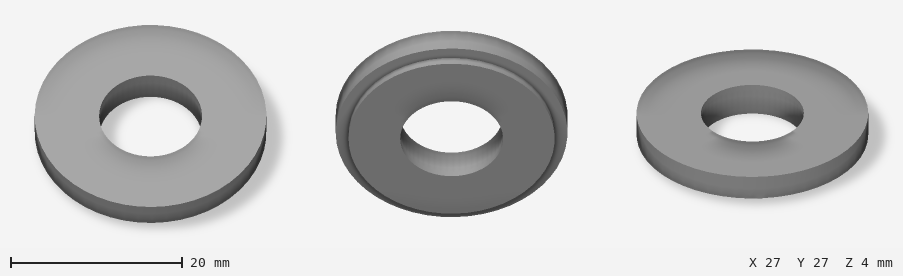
import cadquery as cq

flange_diameter = 27.0
step_diameter = 24.0
bore_diameter = 12.0
total_height = 4.0
step_height = 1.0
flange_height = total_height - step_height

step = cq.Workplane("XY").circle(step_diameter / 2).extrude(step_height)

flange = (
    cq.Workplane("XY")
    .workplane(offset=step_height)
    .circle(flange_diameter / 2)
    .extrude(flange_height)
)

bore = cq.Workplane("XY").circle(bore_diameter / 2).extrude(total_height)

result = step.union(flange).cut(bore)